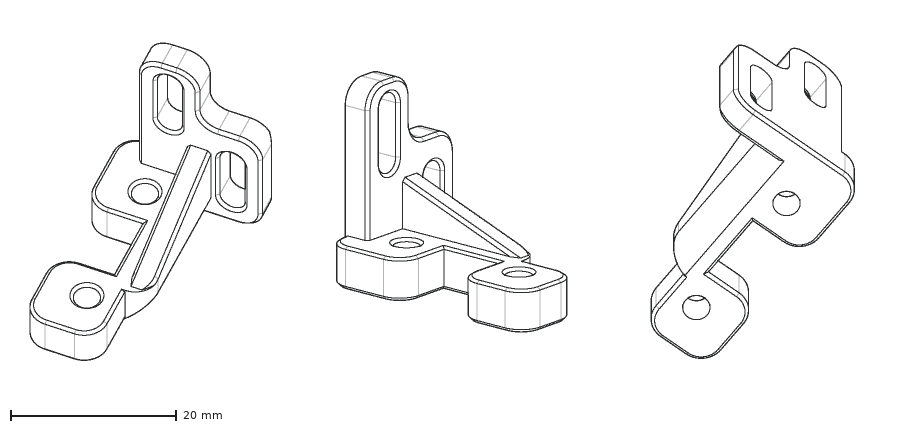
import cadquery as cq

width = 19.7
depth = 31.4
height = 25.0
corner_radius = 3.0
edge_chamfer = 0.45

base_height = 5.45
base_right = 9.98
lower_pad_left = 0.1
lower_pad_back = 10.5
upper_pad_front = 19.3
web_left = 7.75
top_chamfer_height = 0.3

plate_thickness = 3.6
plate_left = 3.48
step_x = 11.45
shoulder_height = 16.05
inner_radius = 2.5

rib_left = base_right
rib_right = 13.1
rib_front = 8.5
rib_slope_front = 9.35
rib_top = 11.9
rib_chamfer = 0.45
root_width = 0.95
underside_start = 9.85

hole_diameter = 3.3
hole_chamfer = 0.4
countersink_angle = 90
hole_x = 6.1
hole_ys = (5.93, 23.83)
slot_length = 10.23
slot_angle = 90
slot_centers = ((7.5, 18.15), (15.75, 7.47))

plate_front = depth - plate_thickness


def make_base():
    """C-shaped base with rounded pads and chamfered top and bottom edges."""
    base = (
        cq.Workplane("XY")
        .polyline([
            (lower_pad_left, 0),
            (base_right, 0),
            (base_right, depth),
            (0, depth),
            (0, upper_pad_front),
            (web_left, upper_pad_front),
            (web_left, lower_pad_back),
            (lower_pad_left, lower_pad_back),
        ])
        .close()
        .extrude(base_height)
    )
    base = base.edges("|Z and <X or (|Z and <Y)").fillet(corner_radius)
    lower_back_corner = cq.selectors.NearestToPointSelector(
        (lower_pad_left, lower_pad_back, base_height / 2)
    )
    base = base.edges(lower_back_corner).fillet(corner_radius)
    base = base.faces("<Z").chamfer(edge_chamfer)
    return base.faces(">Z").chamfer(top_chamfer_height, edge_chamfer)


def make_plate():
    """Stepped upright plate; its back face lies at the rear of the part."""
    plate = (
        cq.Workplane("XZ", origin=(0, depth, 0))
        .polyline([
            (plate_left, 0),
            (width, 0),
            (width, shoulder_height),
            (step_x, shoulder_height),
            (step_x, height),
            (plate_left, height),
        ])
        .close()
        .extrude(plate_thickness)
    )
    plate = plate.edges("|Y and >X and <Z").fillet(corner_radius)

    plate = plate.faces(">Y").edges("<Z").chamfer(edge_chamfer)

    plate = plate.edges("|Y and >Z").fillet(corner_radius)
    for corner, radius in (
        ((width, shoulder_height), corner_radius),
        ((step_x, shoulder_height), inner_radius),
    ):
        corner_edge = cq.selectors.NearestToPointSelector(
            (corner[0], depth - plate_thickness / 2, corner[1])
        )
        plate = plate.edges(corner_edge).fillet(radius)
    return plate.faces("<Y").chamfer(edge_chamfer)


def make_rib():
    """Rib that slopes down from the plate, with a 45 degree underside."""
    slope = (rib_top - base_height) / (plate_front - rib_slope_front)
    rib_back = plate_front + edge_chamfer
    rib_middle = (rib_slope_front + rib_back) / 2
    slope_middle = base_height + slope * (rib_middle - rib_slope_front)
    rib = (
        cq.Workplane("YZ", origin=(rib_left, 0, 0))
        .polyline([
            (rib_front, 0),
            (rib_back, 0),
            (rib_back, rib_top + slope * edge_chamfer),
            (rib_slope_front, base_height),
            (rib_front, base_height),
        ])
        .close()
        .extrude(rib_right - rib_left)
    )
    rib = rib.edges("|Z and >X and <Y").fillet(corner_radius)

    for edge_point in (
        (rib_left, rib_middle, slope_middle),
        (rib_right, rib_middle, slope_middle),
    ):
        rib = rib.edges(cq.selectors.NearestToPointSelector(edge_point)).chamfer(rib_chamfer)

    root = (
        cq.Workplane("XY", origin=(rib_left - root_width, rib_front, 0))
        .box(root_width, rib_back - rib_front, base_height, centered=False)
    )
    reach = width - underside_start
    underside = (
        cq.Workplane("XZ", origin=(underside_start, depth, 0))
        .polyline([(0, 0), (reach, reach), (reach, 0)])
        .close()
        .extrude(depth)
    )
    return rib.union(root).cut(underside)


def make_slots():
    """Vertical slots through the plate with bevelled front rims."""
    rim_width = hole_diameter + 2 * hole_chamfer
    rim_length = slot_length + 2 * hole_chamfer
    slots = (
        cq.Workplane("XZ", origin=(0, depth, 0))
        .pushPoints(slot_centers)
        .slot2D(slot_length, hole_diameter, slot_angle)
        .extrude(plate_thickness)
    )
    rims = (
        cq.Workplane("XZ", origin=(0, plate_front, 0))
        .pushPoints(slot_centers)
        .slot2D(rim_length, rim_width, slot_angle)
        .extrude(-hole_chamfer, taper=countersink_angle / 2)
    )
    return slots.union(rims)


result = make_base().union(make_plate()).union(make_rib())
result = result.cut(make_slots())

result = (
    result.copyWorkplane(cq.Workplane("XY", origin=(0, 0, base_height)))
    .pushPoints([(hole_x, y) for y in hole_ys])
    .cskHole(hole_diameter, hole_diameter + 2 * hole_chamfer, countersink_angle, base_height)
)